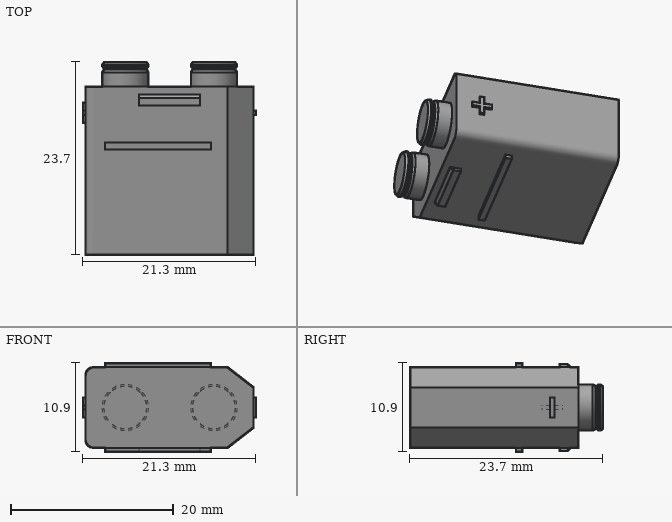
import cadquery as cq

body_length = 20.7
body_width = 20.7
body_height = 9.9
corner_radius = 1.0
bevel_width = 3.22
bevel_height = 2.5

post_length = 23.7 - body_length
post_spacing = 10.9
post_radius = 2.85
groove_radius = 2.65
tip_radius = 2.6
groove_start = 1.75
groove_floor_start = 2.09
groove_floor_end = 2.28
groove_end = 2.51
tip_taper_start = 2.65

long_rib_length = 12.99
long_rib_width = 0.8
long_rib_height = 0.5
long_rib_setback = 6.9
long_rib_offset = -1.42
short_rib_length = 7.5
short_rib_width = 1.35
short_rib_height = 0.4
short_rib_setback = 0.97

mark_length = 2.5
mark_stroke = 0.55
mark_height = 0.3
mark_setback = 3.22

half_width = body_width / 2
half_height = body_height / 2
mark_y = body_length - mark_setback


def make_housing():
    block = cq.Workplane("XY").box(body_width, body_length, body_height, centered=(True, False, True))
    block = block.edges("|Y and <X").fillet(corner_radius)
    corner_x = half_width - bevel_width
    corner_z = half_height - bevel_height
    for side in (1, -1):
        prism = (
            cq.Workplane("XZ")
            .moveTo(corner_x, side * half_height)
            .lineTo(half_width, side * half_height)
            .lineTo(half_width, side * corner_z)
            .close()
            .extrude(-body_length)
        )
        block = block.cut(prism)
    return block


def make_post(x):
    profile = [
        (0, 0),
        (post_radius, 0),
        (post_radius, groove_start),
        (groove_radius, groove_floor_start),
        (groove_radius, groove_floor_end),
        (post_radius, groove_end),
        (post_radius, tip_taper_start),
        (tip_radius, post_length),
        (0, post_length),
    ]
    post = cq.Workplane("XY").polyline(profile).close().revolve(360, (0, 0), (0, 1))
    return post.translate((x, body_length, 0))


def make_top_ribs():
    long_rib = (
        cq.Workplane("XY")
        .box(long_rib_length, long_rib_width, long_rib_height, centered=(True, False, False))
        .translate((long_rib_offset, body_length - long_rib_setback - long_rib_width, half_height))
    )
    ramp_foot = body_length - short_rib_setback
    rib_back = ramp_foot - short_rib_width
    rib_top = half_height + short_rib_height
    short_rib = (
        cq.Workplane("YZ")
        .moveTo(rib_back, half_height)
        .lineTo(ramp_foot, half_height)
        .lineTo(ramp_foot - short_rib_height, rib_top)
        .lineTo(rib_back, rib_top)
        .close()
        .extrude(short_rib_length / 2, both=True)
    )
    return long_rib.union(short_rib)


def make_mark_bar(side, length_y, length_z):
    bar = cq.Workplane("XY").box(mark_height, length_y, length_z)
    return bar.translate((side * (half_width + mark_height / 2), mark_y, 0))


result = make_housing()

for post_side in (-1, 1):
    result = result.union(make_post(post_side * post_spacing / 2))

top_ribs = make_top_ribs()
result = result.union(top_ribs).union(top_ribs.mirror("XY"))

result = result.union(make_mark_bar(-1, mark_length, mark_stroke))
result = result.union(make_mark_bar(-1, mark_stroke, mark_length))
result = result.union(make_mark_bar(1, mark_stroke, mark_length))